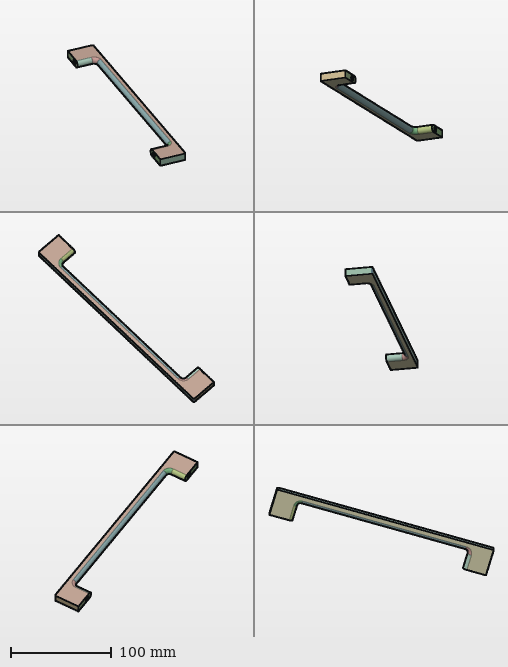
import cadquery as cq
import math

length = 224.0
depth = 27.5
thickness = 7.6

leg_width = 24.0
bar_depth = 8.0
inner_corner_radius = 3.4
back_corner_radius = 1.3

hole_diameter = 3.1
hole_mouth_diameter = 4.7
hole_depth = 12.0
hole_spacing = 192.0

round_radius = thickness / 2
spine_corner_radius = inner_corner_radius + round_radius
spine_x = length / 2 - leg_width + round_radius
spine_y = depth / 2 - bar_depth + round_radius
leg_end_y = -depth / 2
corner_x = spine_x - spine_corner_radius
corner_y = spine_y - spine_corner_radius
arc_reach = spine_corner_radius * math.sin(math.pi / 4)


def trace_spine(sketch):
    """Draw the grip centreline from the left leg end to the right leg end."""
    return (
        sketch.moveTo(-spine_x, leg_end_y)
        .lineTo(-spine_x, corner_y)
        .threePointArc((-corner_x - arc_reach, corner_y + arc_reach), (-corner_x, spine_y))
        .lineTo(corner_x, spine_y)
        .threePointArc((corner_x + arc_reach, corner_y + arc_reach), (spine_x, corner_y))
        .lineTo(spine_x, leg_end_y)
    )


def make_flat_body():
    """Flat U-shaped body, ending at the centreline of the rounded edge."""
    outline = (
        trace_spine(cq.Workplane("XY").workplane(offset=-thickness / 2))
        .lineTo(length / 2, leg_end_y)
        .lineTo(length / 2, depth / 2)
        .lineTo(-length / 2, depth / 2)
        .lineTo(-length / 2, leg_end_y)
        .close()
    )
    body = outline.extrude(thickness)
    return body.edges("|Z and >Y").fillet(back_corner_radius)


def make_round_edge():
    """Round bar along the inside of the U, forming its full-round edge."""
    spine = trace_spine(cq.Workplane("XY"))
    profile = cq.Workplane("XZ", origin=(-spine_x, leg_end_y, 0)).circle(round_radius)
    return profile.sweep(spine)


def make_hole(x):
    """Blind hole with a 45 degree countersunk mouth, bored into a leg end."""
    mouth_radius = hole_mouth_diameter / 2
    hole_radius = hole_diameter / 2
    half_profile = (
        cq.Workplane("XY", origin=(x, leg_end_y, 0))
        .lineTo(mouth_radius, 0)
        .lineTo(hole_radius, mouth_radius - hole_radius)
        .lineTo(hole_radius, hole_depth)
        .lineTo(0, hole_depth)
        .close()
    )
    return half_profile.revolve(360, (0, 0, 0), (0, 1, 0))


result = make_flat_body().union(make_round_edge())
for side in (-1, 1):
    result = result.cut(make_hole(side * hole_spacing / 2))